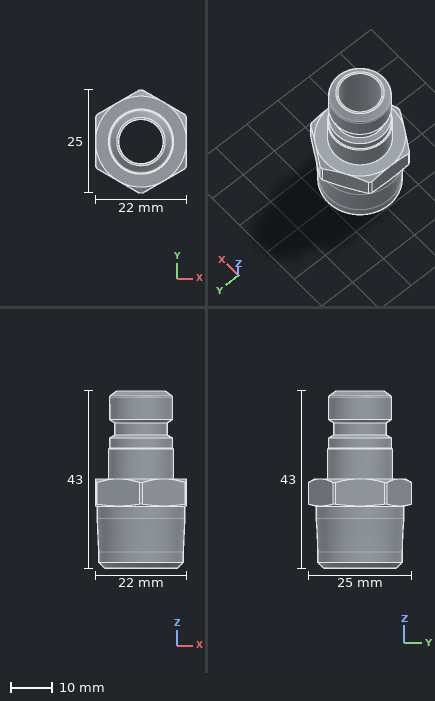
import cadquery as cq
import math

total_height = 43.0
bore_diameter = 10.7

hex_bottom_z = 15.05
hex_top_z = 21.67
hex_across_flats = 22.0
hex_corner_diameter = 25.0
hex_top_chamfer_angle = 30.0
hex_bottom_chamfer_angle = 15.0

root_diameter = 21.3
lead_diameter = 20.55
taper_bottom_z = 4.05
taper_top_z = 12.05
end_chamfer = 1.5

body_diameter = 15.8
plug_diameter = 15.25
neck_diameter = 12.8
tip_diameter = 11.7
body_top_z = 29.1
collar_top_z = 31.5
neck_bottom_z = 32.3
neck_top_z = 35.2
head_bottom_z = 36.05
head_shoulder_z = 41.65
head_shoulder_radius = 0.5


def revolve_profile(points):
    """Solid of revolution about Z from an (r, z) outline."""
    return cq.Workplane("XZ").polyline(points).close().revolve(360, (0, 0), (0, 1))


def make_tapered_end():
    root_radius = root_diameter / 2
    lead_radius = lead_diameter / 2
    return revolve_profile([
        (0, 0),
        (lead_radius - end_chamfer, 0),
        (lead_radius, end_chamfer),
        (lead_radius, taper_bottom_z),
        (root_radius, taper_top_z),
        (root_radius, hex_bottom_z),
        (0, hex_bottom_z),
    ])


def make_hexagon():
    height = hex_top_z - hex_bottom_z
    prism = (
        cq.Workplane("XY", origin=(0, 0, hex_bottom_z))
        .polygon(6, hex_across_flats, circumscribed=True)
        .extrude(height)
    )
    corner_radius = hex_corner_diameter / 2
    top_radius = hex_across_flats / 2
    bottom_radius = root_diameter / 2
    top_drop = (corner_radius - top_radius) * math.tan(math.radians(hex_top_chamfer_angle))
    bottom_rise = (corner_radius - bottom_radius) * math.tan(math.radians(hex_bottom_chamfer_angle))
    envelope = revolve_profile([
        (0, hex_bottom_z),
        (bottom_radius, hex_bottom_z),
        (corner_radius, hex_bottom_z + bottom_rise),
        (corner_radius, hex_top_z - top_drop),
        (top_radius, hex_top_z),
        (0, hex_top_z),
    ])
    return prism.intersect(envelope)


def make_plug():
    body_radius = body_diameter / 2
    plug_radius = plug_diameter / 2
    neck_radius = neck_diameter / 2
    body_chamfer = body_radius - plug_radius
    plug = revolve_profile([
        (0, hex_top_z),
        (body_radius, hex_top_z),
        (body_radius, body_top_z - body_chamfer),
        (plug_radius, body_top_z),
        (plug_radius, collar_top_z),
        (neck_radius, neck_bottom_z),
        (neck_radius, neck_top_z),
        (plug_radius, head_bottom_z),
        (plug_radius, head_shoulder_z),
        (tip_diameter / 2, total_height),
        (0, total_height),
    ])
    shoulder = cq.selectors.NearestToPointSelector((plug_radius, 0, head_shoulder_z))
    return plug.edges("%CIRCLE").edges(shoulder).fillet(head_shoulder_radius)


bore = cq.Workplane("XY").circle(bore_diameter / 2).extrude(total_height)
result = make_tapered_end().union(make_hexagon()).union(make_plug()).cut(bore)